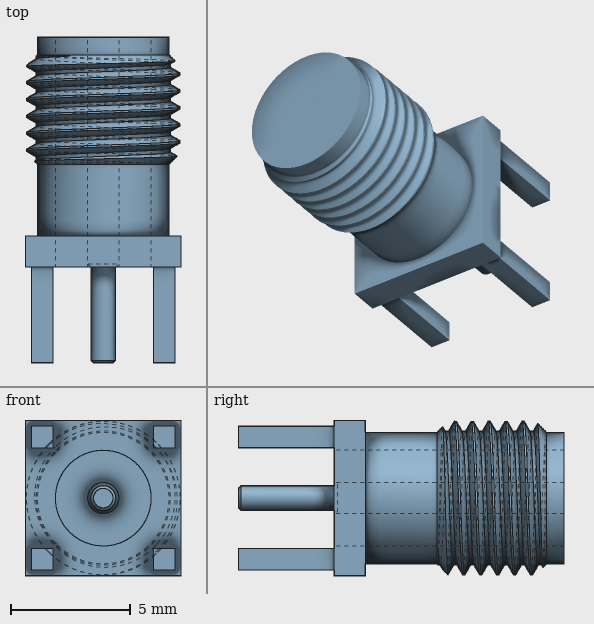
import cadquery as cq
import math


FLANGE_SIDE = 6.5
FLANGE_THICKNESS = 1.3
OVERALL_LENGTH = 13.6
LEG_LENGTH = 4.0
LEG_SIDE = 0.91
LEG_INSET = 0.25
BARREL_RADIUS = 2.75
REAR_LENGTH = OVERALL_LENGTH - LEG_LENGTH
LEG_CENTRE = FLANGE_SIDE / 2 - LEG_INSET - LEG_SIDE / 2

THREAD_START = 4.3
THREAD_LENGTH = 4.57
THREAD_CREST_RADIUS = 3.21
THREAD_ROOT_RADIUS = 2.8
THREAD_PITCH = 0.71
THREAD_CREST_FLAT = 0.08
THREAD_PHASE = 0.23
FLANK_ANGLE = math.radians(30)
RUN_OUT_TURNS = 2
ENVELOPE_CLEARANCE = 0.27

INSULATOR_RADIUS = 2.0
PIN_RADIUS = 0.65
PIN_TAIL_RADIUS = 0.52
PIN_TIP_RADIUS = 0.41
PIN_TIP_LENGTH = 0.11
PIN_SHOULDER_LENGTH = PIN_RADIUS - PIN_TAIL_RADIUS


def cylinder(radius, start, length):
    """Cylinder along +Y whose first end is at y = start."""
    return cq.Workplane("XZ", origin=(0, start, 0)).circle(radius).extrude(-length)


def helical_ridge():
    """Trapezoidal ridge wound around Z, its flanks and crest ruled between corner helices."""
    crest_half = THREAD_CREST_FLAT / 2
    base_half = crest_half + (THREAD_CREST_RADIUS - THREAD_ROOT_RADIUS) * math.tan(FLANK_ANGLE)
    start = THREAD_PHASE - RUN_OUT_TURNS * THREAD_PITCH
    turns = math.ceil(THREAD_LENGTH / THREAD_PITCH) + 2 * RUN_OUT_TURNS
    corners = [
        (THREAD_ROOT_RADIUS, -base_half),
        (THREAD_CREST_RADIUS, -crest_half),
        (THREAD_CREST_RADIUS, crest_half),
        (THREAD_ROOT_RADIUS, base_half),
    ]
    helices = [
        cq.Wire.makeHelix(THREAD_PITCH, turns * THREAD_PITCH, radius, center=cq.Vector(0, 0, start + offset))
        for radius, offset in corners
    ]
    faces = []
    for helix, next_helix in zip(helices, helices[1:] + helices[:1]):
        faces.extend(cq.Face.makeRuledSurface(helix, next_helix).Faces())
    for end_points in (
        [helix.startPoint() for helix in helices],
        [helix.endPoint() for helix in helices],
    ):
        faces.append(cq.Face.makeFromWires(cq.Wire.makePolygon(end_points, close=True)))
    ridge = cq.Solid.makeSolid(cq.Shell.makeShell(faces)).fix()
    return cq.Workplane(ridge)


def thread_envelope():
    """Sleeve outline with 45-degree end cones that rise from the barrel to beyond the crest."""
    outer_radius = THREAD_CREST_RADIUS + ENVELOPE_CLEARANCE
    cone_length = outer_radius - BARREL_RADIUS
    return (
        cq.Workplane("XZ")
        .lineTo(BARREL_RADIUS, 0)
        .lineTo(outer_radius, cone_length)
        .lineTo(outer_radius, THREAD_LENGTH - cone_length)
        .lineTo(BARREL_RADIUS, THREAD_LENGTH)
        .lineTo(0, THREAD_LENGTH)
        .close()
        .revolve(360, (0, 0, 0), (0, 1, 0))
    )


def thread():
    """Threaded length of the barrel, chamfered at both ends and laid along Y."""
    envelope = thread_envelope()
    core = cq.Workplane("XY").circle(THREAD_ROOT_RADIUS).extrude(THREAD_LENGTH).intersect(envelope)
    threaded = core.union(helical_ridge().intersect(envelope))
    return threaded.rotate((0, 0, 0), (1, 0, 0), -90).translate((0, THREAD_START, 0))


def make_housing():
    """Square flange with four legs, a threaded barrel and a bore for the insulator."""
    flange = cq.Workplane("XZ").rect(FLANGE_SIDE, FLANGE_SIDE).extrude(-FLANGE_THICKNESS)
    legs = (
        cq.Workplane("XZ")
        .rect(2 * LEG_CENTRE, 2 * LEG_CENTRE, forConstruction=True)
        .vertices()
        .rect(LEG_SIDE, LEG_SIDE)
        .extrude(LEG_LENGTH)
    )
    barrel = cylinder(BARREL_RADIUS, 0, REAR_LENGTH)
    bore = cylinder(INSULATOR_RADIUS, 0, REAR_LENGTH)
    return flange.union(legs).union(barrel).union(thread()).cut(bore)


def make_insulator():
    """Sleeve that fills the housing bore and holds the pin."""
    sleeve = cylinder(INSULATOR_RADIUS, 0, REAR_LENGTH)
    return sleeve.cut(cylinder(PIN_RADIUS, 0, REAR_LENGTH))


def make_pin():
    """Turned pin whose conical shoulder, sunk in the insulator, leads to a thinner tail."""
    tip = -LEG_LENGTH
    return (
        cq.Workplane("XY")
        .moveTo(0, tip)
        .lineTo(PIN_TIP_RADIUS, tip)
        .lineTo(PIN_TAIL_RADIUS, tip + PIN_TIP_LENGTH)
        .lineTo(PIN_TAIL_RADIUS, 0)
        .lineTo(PIN_RADIUS, PIN_SHOULDER_LENGTH)
        .lineTo(PIN_RADIUS, REAR_LENGTH)
        .lineTo(0, REAR_LENGTH)
        .close()
        .revolve(360, (0, 0, 0), (0, 1, 0))
    )


housing = make_housing()
insulator = make_insulator()
pin = make_pin()

result = cq.Compound.makeCompound([*housing.solids().vals(), *insulator.solids().vals(), pin.val()])